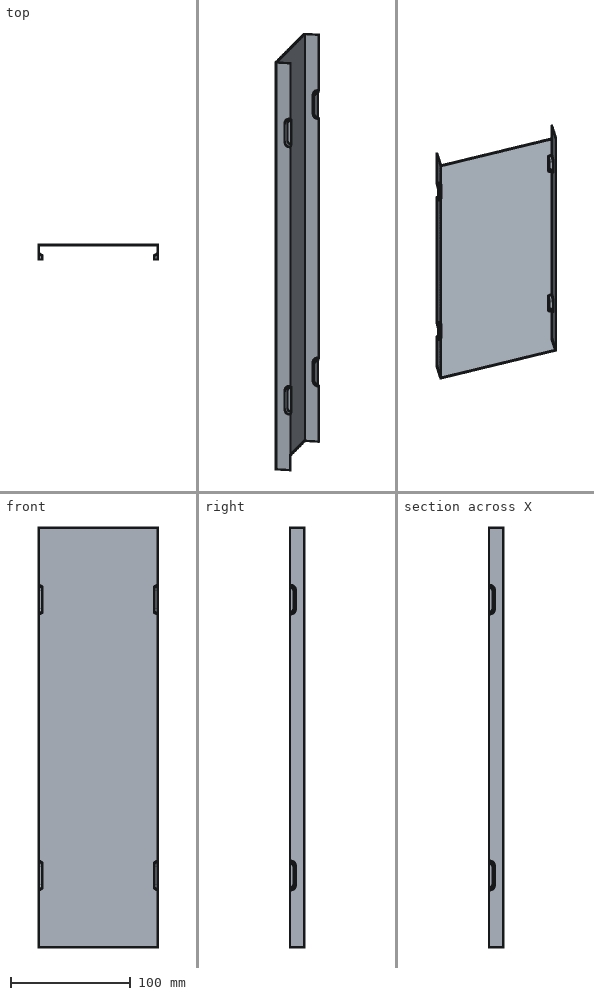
import cadquery as cq
import math

width = 100.0
depth = 12.5
height = 350.0
sheet = 0.6

recess_length = 24.0
recess_reach = 4.75
recess_corner = 4.5
recess_depth = 3.0
recess_slope = 30.0
recess_from_end = 60.0
recess_heights = (recess_from_end, height - recess_from_end)

half_width = width / 2
front = -depth

slope = math.radians(recess_slope)
wall_growth = sheet / math.cos(slope) - sheet * math.tan(slope)


def make_half_channel():
    """Left half of the web, with the left flange pointing to -Y."""
    outline = [
        (0, 0),
        (-half_width, 0),
        (-half_width, front),
        (-half_width + sheet, front),
        (-half_width + sheet, -sheet),
        (0, -sheet),
    ]
    return cq.Workplane("XY").polyline(outline).close().extrude(height)


def tapered_pad(center_z, start_x, growth):
    """Sloping-sided pad pushed to +X from start_x, cut off at the free edge of the flange.

    The full outline is symmetric about the free edge; only the half behind the edge is kept.
    """
    pad = (
        cq.Workplane("YZ", origin=(start_x, front, center_z))
        .sketch()
        .rect(2 * (recess_reach + growth), recess_length + 2 * growth)
        .vertices()
        .fillet(recess_corner + growth)
        .finalize()
        .extrude(recess_depth, taper=recess_slope)
    )
    envelope = (
        cq.Workplane("XY", origin=(0, front, 0))
        .box(width, depth, height, centered=(True, False, False))
    )
    return pad.intersect(envelope)


def press_recess(body, center_z):
    """Push the left flange inwards, keeping the sheet thickness across the slopes."""
    bulge = tapered_pad(center_z, -half_width + sheet, wall_growth)
    hollow = tapered_pad(center_z, -half_width, 0)
    return body.union(bulge).cut(hollow)


def make_cover():
    """Press the recesses into the left half, then mirror it to the right."""
    left_half = make_half_channel()
    for center_z in recess_heights:
        left_half = press_recess(left_half, center_z)
    return left_half.union(left_half.mirror("YZ")).clean()


result = make_cover()